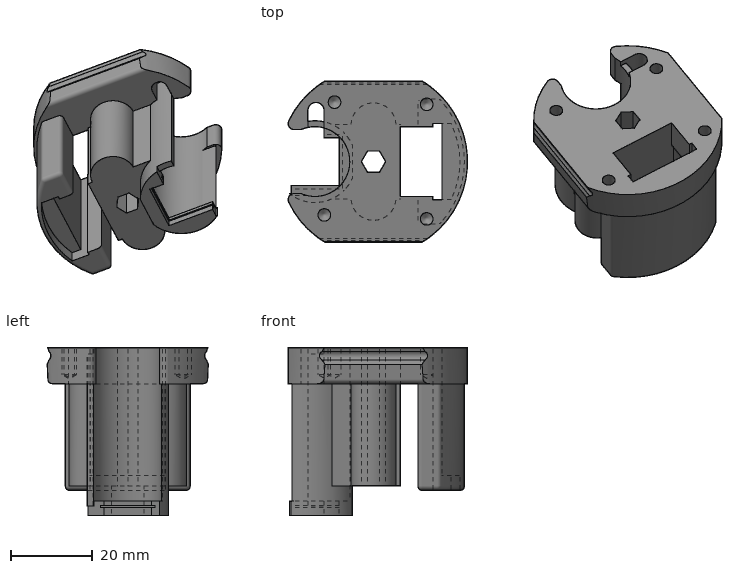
import cadquery as cq
import math


plate_radius = 22.97
plate_thickness = 8.8
rim_top_half_width = 19.55
rim_ridge_half_width = 19.7
rim_bottom_half_width = 19.5
rim_ridge_depth = 4.08
rim_round = 1.1
groove_top_depth = 0.9
groove_bottom_depth = 3.02
groove_edge_half_width = 19.25
groove_floor_half_width = 18.8

bay_x = -14.3
bay_radius = 8.5
mouth_half_width = 7.8
lip_round = 1.5
tube_radius = 10.0
tube_far_x = -5.15
tube_depth = 41.0
tube_mouth_half_width = 8.25

slot_near_x = -16.0
slot_width = 3.9
slot_far_x = slot_near_x + slot_width
slot_end_y = 14.42
slot_ledge_depth = 1.55
slot_wall_depth = 38.7

floor_depth = 37.5
floor_near_x = -20.1
window_half_width = 5.8
window_far_x = -8.4
slit_top_depth = 38.55
slit_bottom_depth = 39.0
slit_margin = 0.88

boss_depth = 33.75
boss_block_half_width = 9.07
lobe_y = 8.85
lobe_radius = 5.5
hexagon_flats = 5.1

pocket_near_x = 6.55
pocket_far_x = 16.65
pocket_width = 17.0
pocket_step_x = 14.45
pocket_step_width = 18.5

leg_radius = 22.2
leg_near_x = 10.85
leg_half_width = 15.25
leg_depth = 34.85
leg_round = 1.05
foot_recess_depth = 31.15
foot_wall = 1.1

hole_diameter = 3.05
hole_depth = 6.58
hole_tip_angle = 118
hole_places = [(-12.0, -13.0), (-9.5, 14.5), (12.98, -14.0), (12.98, 14.0)]

open_x = -1.5 * plate_radius


def box(x_range, y_range, depth_range):
    """Box between limits along X and Y, and between an upper and a lower depth."""
    upper_depth, lower_depth = depth_range
    length = x_range[1] - x_range[0]
    width = y_range[1] - y_range[0]
    corner = (x_range[0], y_range[0], -lower_depth)
    return cq.Workplane("XY").box(length, width, lower_depth - upper_depth, centered=False).translate(corner)


def centred_box(x_range, width, depth_range):
    """Box that lies evenly on both sides of Y = 0."""
    return box(x_range, (-width / 2, width / 2), depth_range)


def cylinder(x, y, radius, depth_range):
    """Upright cylinder between an upper and a lower depth."""
    upper_depth, lower_depth = depth_range
    return cq.Workplane("XY", origin=(x, y, -lower_depth)).circle(radius).extrude(lower_depth - upper_depth)


def rim_half():
    """Half of a long bar whose side has the grooved, rounded section of the plate's rim."""
    groove_middle = (groove_top_depth + groove_bottom_depth) / 2
    bend = rim_round * (1 - math.sqrt(0.5))
    return (
        cq.Workplane("YZ", origin=(-plate_radius, 0, 0))
        .moveTo(0, 0)
        .lineTo(rim_top_half_width, 0)
        .lineTo(groove_edge_half_width, -groove_top_depth)
        .threePointArc(
            (groove_floor_half_width, -groove_middle),
            (groove_edge_half_width, -groove_bottom_depth),
        )
        .lineTo(rim_ridge_half_width, -rim_ridge_depth)
        .lineTo(rim_bottom_half_width, rim_round - plate_thickness)
        .threePointArc(
            (rim_bottom_half_width - bend, bend - plate_thickness),
            (rim_bottom_half_width - rim_round, -plate_thickness),
        )
        .lineTo(0, -plate_thickness)
        .close()
        .extrude(2 * plate_radius)
    )


def make_plate():
    """Disc with two grooved flat sides and a mouth with rounded lips."""
    depths = (0, plate_thickness)
    mouth = centred_box((open_x, bay_x), 2 * mouth_half_width, depths)
    disc = cylinder(0, 0, plate_radius, depths).cut(mouth)
    lip_x = -math.sqrt(plate_radius**2 - mouth_half_width**2)
    for y in (-mouth_half_width, mouth_half_width):
        lip_edge = cq.selectors.NearestToPointSelector((lip_x, y, -plate_thickness / 2))
        disc = disc.edges("|Z").edges(lip_edge).fillet(lip_round)
    half = rim_half()
    return disc.intersect(half.union(half.mirror("XZ")))


def make_slot():
    """Slot from the bay into the plate, with a round end."""
    depths = (0, plate_thickness)
    end_radius = slot_width / 2
    end_centre_y = slot_end_y - end_radius
    straight = box((slot_near_x, slot_far_x), (0, end_centre_y), depths)
    return straight.union(cylinder(slot_near_x + end_radius, end_centre_y, end_radius, depths))


def make_tube():
    """Solid column below the plate, flat on its +X side, with a ledge that rises into the slot."""
    column = cylinder(bay_x, 0, tube_radius, (plate_thickness, tube_depth))
    column = column.intersect(
        centred_box((open_x, tube_far_x), 2 * tube_radius, (plate_thickness, tube_depth))
    )
    ledge_depths = (slot_ledge_depth, plate_thickness)
    ledge = cylinder(bay_x, 0, tube_radius, ledge_depths)
    ledge = ledge.intersect(box((slot_near_x, slot_far_x), (0, tube_radius), ledge_depths))
    return column.union(ledge)


def make_boss():
    """Block between the tube and the pocket, with a lobe on each side."""
    depths = (plate_thickness, boss_depth)
    boss = centred_box((bay_x, pocket_near_x), 2 * boss_block_half_width, depths)
    for y in (-lobe_y, lobe_y):
        boss = boss.union(cylinder(0, y, lobe_radius, depths))
    return boss


def make_leg():
    """Leg with a round outer side, rounded corners and a rounded foot."""
    depths = (plate_thickness, leg_depth)
    leg = cylinder(0, 0, leg_radius, depths)
    leg = leg.intersect(centred_box((leg_near_x, leg_radius), 2 * leg_half_width, depths))
    return leg.edges("|Z").fillet(leg_round).faces("<Z").edges().fillet(leg_round)


def cut_bay(body):
    """Bore the bay down to the floor and open it toward -X."""
    bore = cylinder(bay_x, 0, bay_radius, (0, floor_depth))
    mouth = centred_box((open_x, bay_x), 2 * tube_mouth_half_width, (plate_thickness, floor_depth))
    wall_end = box((open_x, slot_near_x), (0, tube_radius), (plate_thickness, tube_depth))
    return body.cut(bore).cut(mouth).cut(wall_end)


def cut_floor(body):
    """Shape the floor: its open side, the window and the slit."""
    floor_depths = (floor_depth, tube_depth)
    slot_side = (window_half_width, tube_radius)
    below_wall = box((open_x, slot_far_x), slot_side, (slot_wall_depth, tube_depth))
    inside_wall = cylinder(bay_x, 0, bay_radius, floor_depths)
    inside_wall = inside_wall.intersect(box((open_x, slot_far_x), slot_side, floor_depths))
    near_end = box((open_x, floor_near_x), (-mouth_half_width, 0), floor_depths)
    window = centred_box((open_x, window_far_x), 2 * window_half_width, floor_depths)
    slit = centred_box(
        (open_x, window_far_x + slit_margin),
        2 * (window_half_width + slit_margin),
        (slit_top_depth, slit_bottom_depth),
    )
    return body.cut(below_wall).cut(inside_wall).cut(near_end).cut(window).cut(slit)


def cut_pocket(body):
    """Cut the stepped pocket through plate and leg, and the recess behind it at the foot."""
    depths = (0, leg_depth)
    pocket = centred_box((pocket_near_x, pocket_far_x), pocket_width, depths)
    step = centred_box((pocket_step_x, pocket_far_x), pocket_step_width, depths)
    recess_depths = (foot_recess_depth, leg_depth)
    recess = cylinder(0, 0, leg_radius - foot_wall, recess_depths)
    recess = recess.intersect(
        centred_box((pocket_step_x, leg_radius), pocket_step_width, recess_depths)
    )
    return body.cut(pocket).cut(step).cut(recess)


def make_hexagonal_hole():
    """Hexagonal hole through plate and boss."""
    across_corners = hexagon_flats / math.cos(math.pi / 6)
    return cq.Workplane("XY").polygon(6, across_corners).extrude(-boss_depth)


def make_screw_hole(x, y):
    """Blind hole from the top face with a conical tip."""
    radius = hole_diameter / 2
    tip_depth = hole_depth + radius / math.tan(math.radians(hole_tip_angle / 2))
    return (
        cq.Workplane("XZ")
        .polyline([(0, 0), (radius, 0), (radius, -hole_depth), (0, -tip_depth)])
        .close()
        .revolve(360, (0, 0, 0), (0, 1, 0))
        .translate((x, y, 0))
    )


def make_holder():
    """Plate, tube, boss and leg as one piece with all its openings."""
    holder = make_plate().cut(make_slot())
    for part in (make_tube(), make_boss(), make_leg()):
        holder = holder.union(part)
    holder = cut_bay(holder)
    holder = cut_floor(holder)
    holder = cut_pocket(holder)
    holder = holder.cut(make_hexagonal_hole())
    for x, y in hole_places:
        holder = holder.cut(make_screw_hole(x, y))
    return holder


holder = make_holder()

result = cq.Compound.makeCompound([*holder.solids().vals()])